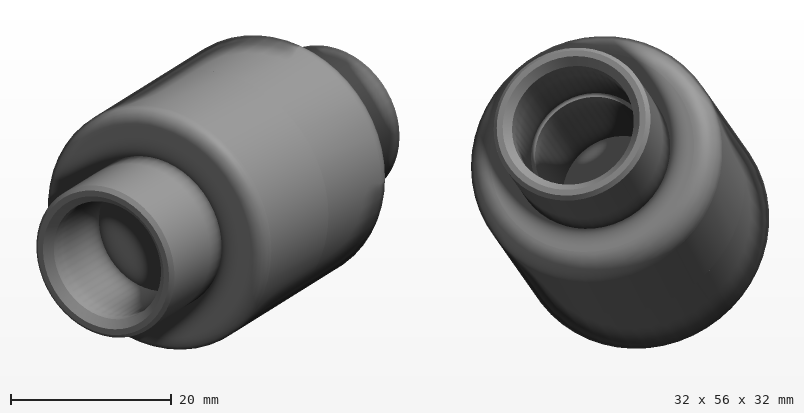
import cadquery as cq

overall_length = 56.0
shell_diameter = 32.0
shell_length = 32.0
tube_diameter = 20.0
tube_chamfer = 0.5
front_fillet = 2.0
rear_fillet = 2.95

mouth_diameter = 17.5
bore_diameter = 15.5
seat_diameter = 14.5

half_length = overall_length / 2
half_shell = shell_length / 2
mouth_depth = (mouth_diameter - bore_diameter) / 2
bore_depth = half_length - half_shell

FRONT = -1
REAR = 1


def cylinder(diameter, length, side):
    """Cylinder on the Y axis from the split plane toward the given side."""
    return cq.Workplane("XZ").circle(diameter / 2).extrude(-side * length)


def end_face(side):
    """Selector for the face farthest toward the given side."""
    return ">Y" if side == REAR else "<Y"


def make_stepped_bore(side):
    """Solid shape of the opening: seat, tube bore and conical mouth."""
    seat = cylinder(seat_diameter, half_length, side)
    bore = cylinder(bore_diameter, bore_depth, side).translate((0, side * half_shell, 0))
    mouth = cq.Solid.makeCone(
        mouth_diameter / 2,
        bore_diameter / 2,
        mouth_depth,
        pnt=cq.Vector(0, side * half_length, 0),
        dir=cq.Vector(0, -side, 0),
    )
    return seat.union(bore).union(cq.Workplane(mouth))


def make_half(side, shell_fillet):
    """Shell half with its tube, rounded shoulder and stepped bore."""
    shell = cylinder(shell_diameter, half_shell, side)
    shell = shell.faces(end_face(side)).edges().fillet(shell_fillet)

    tube = cylinder(tube_diameter, half_length, side)
    tube = tube.faces(end_face(side)).edges().chamfer(tube_chamfer)

    return shell.union(tube).cut(make_stepped_bore(side))


plug = cylinder(seat_diameter, half_shell, FRONT)
front_half = make_half(FRONT, front_fillet)
rear_half = make_half(REAR, rear_fillet)

result = cq.Compound.makeCompound([*front_half.vals(), *rear_half.vals(), plug.val()])